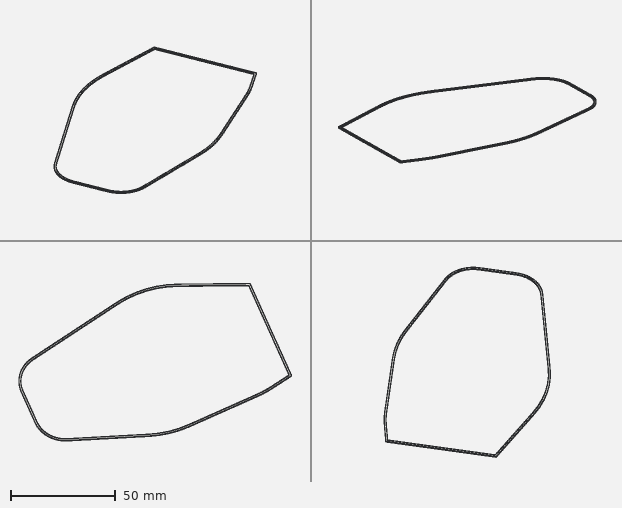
import cadquery as cq
import math

length = 123.3
thickness = 0.6
band_width = 1.0

side_radius = 50.0
base_radius = 15.5

half_length = length / 2
top_left = (-22.9, half_length)
top_right = (30.8, half_length)
shoulder = (34.8, 46.5)
right_side = (39.3, -4.1)
base_right = (20.6, -half_length)
base_left = (-20.7, -half_length)
left_side = (-41.2, 14.4)

corners = [
    (top_left, 0),
    (top_right, 0),
    (shoulder, side_radius),
    (right_side, side_radius),
    (base_right, base_radius),
    (base_left, base_radius),
    (left_side, side_radius),
]


def direction(start, end):
    """Unit vector from start to end."""
    span = math.dist(start, end)
    return ((end[0] - start[0]) / span, (end[1] - start[1]) / span)


def rounded_corner(before, corner, after, radius):
    """Start, middle and end points of the tangent arc at a corner."""
    back = direction(corner, before)
    ahead = direction(corner, after)
    half_angle = math.acos(back[0] * ahead[0] + back[1] * ahead[1]) / 2
    tangent = radius / math.tan(half_angle)
    to_middle = radius / math.sin(half_angle) - radius
    inward = direction((0, 0), (back[0] + ahead[0], back[1] + ahead[1]))

    def step(along, distance):
        return (corner[0] + along[0] * distance, corner[1] + along[1] * distance)

    return step(back, tangent), step(inward, to_middle), step(ahead, tangent)


def outer_outline():
    """Closed outer edge of the band."""
    outline = cq.Workplane("XY").moveTo(*top_left)
    for i in range(1, len(corners)):
        corner, radius = corners[i]
        if radius == 0:
            outline = outline.lineTo(*corner)
            continue
        before = corners[i - 1][0]
        after = corners[(i + 1) % len(corners)][0]
        start, middle, end = rounded_corner(before, corner, after, radius)
        outline = outline.lineTo(*start).threePointArc(middle, end)
    return outline.close()


plate = outer_outline().extrude(thickness / 2, both=True)
opening = outer_outline().offset2D(-band_width, "intersection").extrude(thickness, both=True)
result = plate.cut(opening)